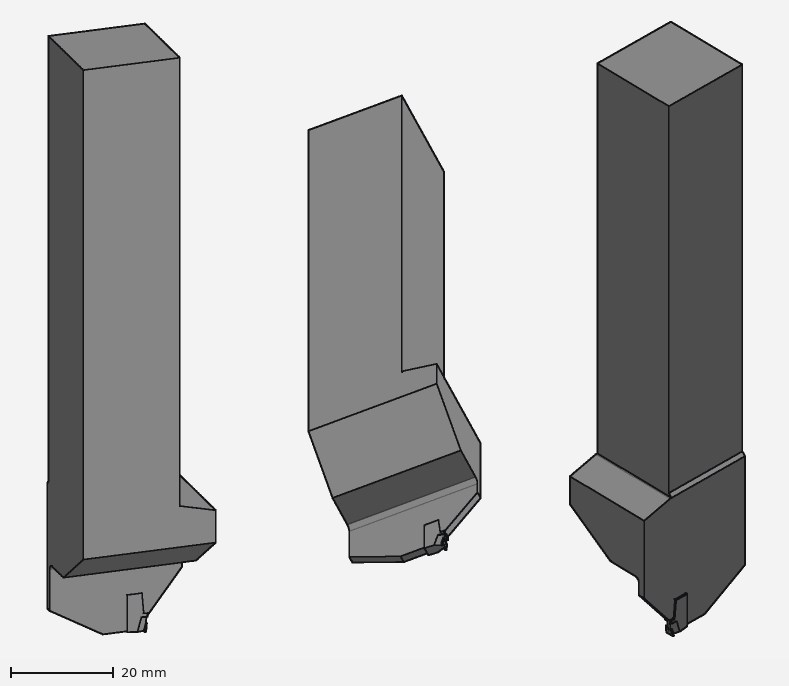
import cadquery as cq

total_height = 126.4
total_width = 21.1
shank_side = 20.0
shank_left = total_width - shank_side
step_top = 33.7

blade_left = 0.4
blade_right = 1.9
head_depth = 27.4
head_bottom = 0.6
head_top = step_top - (shank_left - blade_left)
ledge_start = 20.3
ledge_low = 31.2
rear_corner_height = 12.6
rear_bottom_depth = 18.1
front_bottom_depth = 11.0
front_corner_height = 7.0
thick_bottom = 16.7
thick_bottom_end = 9.7
thick_side_bottom = 24.5
blade_fillet = 1.0

insert_front = 16.0
insert_top = 8.2
insert_top_rear = 19.1
insert_bottom = 0.44
neck_rear = 19.5
nose_top = 3.9
nose_rear = 20.3
tip_depth = 20.0
relief_top = 3.2
relief_top_depth = 19.0
relief_bottom_depth = 18.2
relief_inset = 0.6
relief_reach = 1.5
relief_length = 5.0


def side_profile(points, left, right):
    """Extrude a closed (Y, Z) outline from X = left to X = right."""
    return cq.Workplane("YZ", origin=(left, 0, 0)).polyline(points).close().extrude(right - left)


def make_head_blank():
    """Head outline in YZ, kept only where the stepped XZ outline allows material."""
    head = side_profile(
        [
            (0, step_top),
            (shank_side, step_top),
            (shank_side, head_top),
            (ledge_start, head_top),
            (head_depth, ledge_low),
            (head_depth, rear_corner_height),
            (rear_bottom_depth, head_bottom),
            (front_bottom_depth, head_bottom),
            (0, front_corner_height),
        ],
        blade_left,
        total_width,
    )
    stepped_outline = (
        cq.Workplane("XZ")
        .moveTo(shank_left, step_top)
        .lineTo(blade_left, head_top)
        .lineTo(blade_left, 0)
        .lineTo(blade_right, 0)
        .lineTo(blade_right, thick_bottom - blade_fillet)
        .radiusArc((blade_right + blade_fillet, thick_bottom), blade_fillet)
        .lineTo(thick_bottom_end, thick_bottom)
        .lineTo(total_width, thick_side_bottom)
        .lineTo(total_width, step_top)
        .close()
        .extrude(-head_depth)
    )
    return head.intersect(stepped_outline)


def make_insert_blank():
    return side_profile(
        [
            (insert_front, insert_bottom),
            (insert_front, insert_top),
            (insert_top_rear, insert_top),
            (neck_rear, nose_top),
            (nose_rear, nose_top),
            (tip_depth, 0),
        ],
        0,
        blade_right,
    )


def make_relief():
    """Wedge that narrows the left side of the nose towards the tip."""
    inner_edge = cq.Plane(
        origin=(0, relief_top_depth, relief_top),
        xDir=(1, 0, 0),
        normal=(0, relief_bottom_depth - relief_top_depth, insert_bottom - relief_top),
    )
    wedge = (
        cq.Workplane(inner_edge)
        .polyline([(0, 0), (relief_inset, -relief_reach), (0, -relief_reach)])
        .close()
        .extrude(relief_length, both=True)
    )
    below_relief_top = cq.Workplane("XY").box(
        total_width, head_depth, relief_top, centered=(True, False, False)
    )
    return wedge.intersect(below_relief_top)


def make_insert():
    left_relief = make_relief()
    right_relief = left_relief.mirror("YZ", (blade_right / 2, 0, 0))
    return make_insert_blank().cut(left_relief).cut(right_relief)


def make_holder():
    """Shank and head as one solid, with a pocket that fits the insert."""
    shank = cq.Workplane("XY", origin=(shank_left, 0, step_top)).box(
        shank_side, shank_side, total_height - step_top, centered=False
    )
    return shank.union(make_head_blank()).cut(make_insert_blank())


holder = make_holder()
insert = make_insert()
result = cq.Compound.makeCompound([holder.solids().val(), insert.solids().val()])